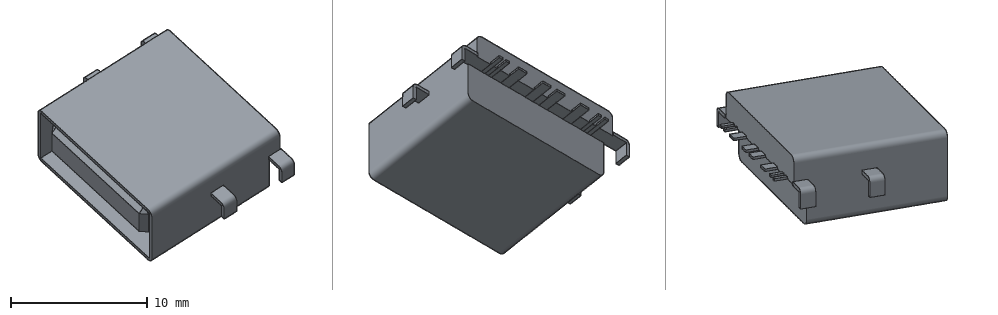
import cadquery as cq

shell_width = 13.1
shell_height = 5.7
shell_length = 12.2
shell_wall = 0.3
shell_corner_radius = 0.5
rear_step_depth = 1.0
rear_wall_thickness = 1.0

overall_width = 16.2
tab_thickness = 0.3
tab_length = 1.2
tab_bend_radius = 0.4
tab_top = 0.9
tab_bottom = -0.65
tab_starts = (5.6, 11.1)

tongue_width = 11.03
tongue_top = 1.86
tongue_bottom = -0.65
tongue_chamfer = 0.5
tongue_setback = 0.05

contact_end = 13.2
contact_top = 0.78
contact_thickness = 0.2
contacts = (
    (0.68, 0.78),
    (3.0, 0.81),
    (4.45, 0.3),
    (5.1, 0.34),
)

step_height = tab_top - tab_thickness
step_start = shell_length - rear_step_depth
cavity_depth = step_start - rear_wall_thickness


def block(x_range, y_range, z_range):
    """Box spanning the given (low, high) ranges."""
    lows, highs = zip(x_range, y_range, z_range)
    sizes = [high - low for low, high in zip(lows, highs)]
    return cq.Workplane("XY").box(*sizes, centered=False).translate(lows)


def make_shell():
    """Rounded housing with a front cavity and a shortened lower rear."""
    half_width = shell_width / 2
    half_height = shell_height / 2
    outer = block((-half_width, half_width), (0, shell_length), (-half_height, half_height))
    outer = outer.edges("|Y").fillet(shell_corner_radius)
    inner_x = half_width - shell_wall
    inner_z = half_height - shell_wall
    cavity = block((-inner_x, inner_x), (0, cavity_depth), (-inner_z, inner_z))
    step = block((-half_width, half_width), (step_start, shell_length), (-half_height, step_height))
    return outer.cut(cavity).cut(step)


def make_tongue():
    """Contact carrier with bevelled upper, side and front edges."""
    half_width = tongue_width / 2
    tongue = block((-half_width, half_width), (tongue_setback, step_start), (tongue_bottom, tongue_top))
    bevelled_edges = "(<Y and (|Z or >Z)) or (|Y and >Z)"
    return tongue.edges(bevelled_edges).chamfer(tongue_chamfer)


def make_tab(start):
    """Right-hand tab: runs outward from the shell wall, then bends down."""
    root_x = shell_width / 2
    tip_x = overall_width / 2
    return (
        cq.Workplane("XZ", origin=(0, start, 0))
        .moveTo(root_x, tab_top)
        .lineTo(tip_x - tab_bend_radius, tab_top)
        .radiusArc((tip_x, tab_top - tab_bend_radius), tab_bend_radius)
        .lineTo(tip_x, tab_bottom)
        .lineTo(tip_x - tab_thickness, tab_bottom)
        .lineTo(tip_x - tab_thickness, tab_top - tab_thickness)
        .lineTo(root_x, tab_top - tab_thickness)
        .close()
        .extrude(-tab_length)
    )


def make_contact(center, width):
    """Flat contact on the +X side, rooted in the rear wall."""
    return block(
        (center - width / 2, center + width / 2),
        (cavity_depth, contact_end),
        (contact_top - contact_thickness, contact_top),
    )


result = make_shell().union(make_tongue())
side_parts = [make_tab(start) for start in tab_starts]
side_parts += [make_contact(center, width) for center, width in contacts]
for side_part in side_parts:
    result = result.union(side_part).union(side_part.mirror("YZ"))